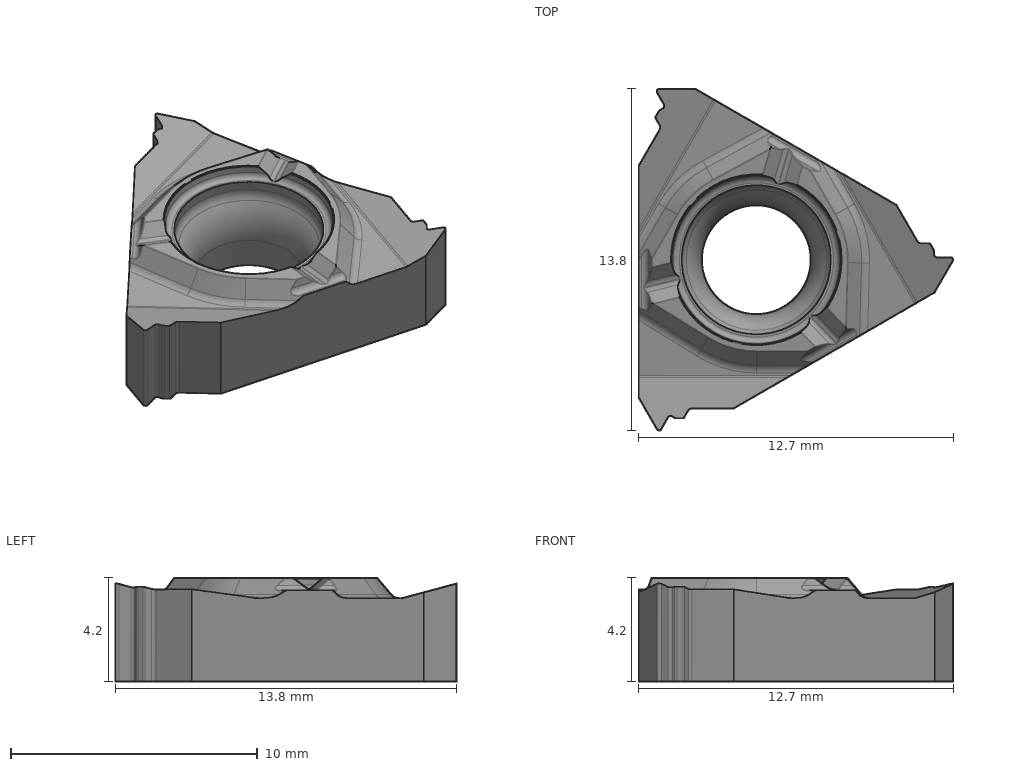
import cadquery as cq
import math

corner_count = 3
pitch_angle = 360 / corner_count
blank_radius = 9.0
tolerance = 0.01

inscribed_radius = 9.525 / 2
overall_height = 4.2
flank_angle = 60.0
flank_offset = 6.92
tip_radius = 0.1
root_y = -6.29
ramp_angle = 30.0
step_y = -6.43
step_end_x = -2.94
land_y = -6.03
root_fillet = 0.12
step_start_fillet = 0.2
step_end_fillet = 0.08
land_fillet = 0.18

floor_z = 3.385
rake_angle = 15.0
rake_start = 4.715
valley_radius = 0.32

boss_radius = 3.7
boss_slope = 50.0
boss_arc_start = -1.6
boss_arc = 31.6
boss_foot_fillet = 0.42
boss_edge_fillet = 0.04

relief_offset = 4.43
relief_lean = 20.0
relief_z = 3.69
relief_half_length = 3.0
relief_fillet = 0.32

groove_direction = 73.8
groove_z = 3.71
groove_flat = 0.26
groove_top_width = 1.44
groove_fillet = 0.3

bore_radius = 4.4 / 2
seat_start_z = 1.32
seat_angle = 45.0
seat_radius = 2.22
seat_wall_radius = 3.02
rim_ledge_z = 3.7
rim_radius = 3.43
rim_lean = 10.0
rim_fillet = 0.26


def turned(x, y, degrees):
    """The point (x, y) turned about the bore axis."""
    c = math.cos(math.radians(degrees))
    s = math.sin(math.radians(degrees))
    return x * c - y * s, x * s + y * c


def rounded_outline(corners):
    """Closed wire through (x, y, radius) corners, with a tangent arc at each radius above zero."""
    entries = []
    for i, (x, y, radius) in enumerate(corners):
        corner = cq.Vector(x, y)
        before = (cq.Vector(*corners[i - 1][:2]) - corner).normalized()
        after = (cq.Vector(*corners[(i + 1) % len(corners)][:2]) - corner).normalized()
        if radius == 0:
            entries.append((corner, None, corner))
            continue
        half_angle = before.getAngle(after) / 2
        setback = radius / math.tan(half_angle)
        bisector = (before + after).normalized()
        middle = corner + bisector * (radius / math.sin(half_angle) - radius)
        entries.append((corner + before * setback, middle, corner + after * setback))
    path = cq.Workplane("XY").moveTo(*entries[0][2].toTuple()[:2])
    for start, middle, end in entries[1:] + entries[:1]:
        path = path.lineTo(*start.toTuple()[:2])
        if middle is not None:
            path = path.threePointArc(middle.toTuple()[:2], end.toTuple()[:2])
    return path.close()


def thread_corner():
    """Corner points (x, y, radius) of the tooth that points toward -Y."""
    cos_flank = math.cos(math.radians(flank_angle))
    sin_flank = math.sin(math.radians(flank_angle))
    tan_flank = math.tan(math.radians(flank_angle))
    tip_center_y = tip_radius - flank_offset
    tip_x = tip_center_y / tan_flank
    tip_y = tip_center_y - tip_radius / cos_flank
    side_x = -inscribed_radius
    side_y = (-flank_offset - sin_flank * side_x) / cos_flank
    root_x = tip_x + (root_y - tip_y) / tan_flank
    step_start_x = root_x + (root_y - step_y) / math.tan(math.radians(ramp_angle))
    land_start_x = step_end_x + (land_y - step_y) / tan_flank
    land_end_x = (inscribed_radius + sin_flank * land_y) / cos_flank
    return [
        (side_x, side_y, 0),
        (tip_x, tip_y, tip_radius),
        (root_x, root_y, root_fillet),
        (step_start_x, step_y, step_start_fillet),
        (step_end_x, step_y, step_end_fillet),
        (land_start_x, land_y, land_fillet),
        (land_end_x, land_y, 0),
    ]


def body_prism():
    """Full-height prism with the threaded outline."""
    corners = []
    for i in range(corner_count):
        for x, y, radius in thread_corner():
            corners.append((*turned(x, y, i * pitch_angle), radius))
    return rounded_outline(corners).extrude(overall_height)


def rake_wedge():
    """Wedge that rises from the floor toward the tooth at -Y, blended in at the valley."""
    angle = math.radians(rake_angle)
    setback = valley_radius * math.tan(angle / 2)
    rise = (blank_radius - rake_start) * math.tan(angle)
    valley_start = (-rake_start + setback, floor_z)
    valley_middle = (
        valley_start[0] - valley_radius * math.sin(angle / 2),
        floor_z + valley_radius * (1 - math.cos(angle / 2)),
    )
    valley_end = (
        valley_start[0] - valley_radius * math.sin(angle),
        floor_z + valley_radius * (1 - math.cos(angle)),
    )
    return (
        cq.Workplane("YZ")
        .moveTo(valley_start[0], 0)
        .lineTo(*valley_start)
        .threePointArc(valley_middle, valley_end)
        .lineTo(-blank_radius, floor_z + rise)
        .lineTo(-blank_radius, 0)
        .close()
        .extrude(blank_radius, both=True)
    )


def boss_on_floor():
    """Round floor disc carrying the sloped three-cornered boss."""
    boss_height = overall_height - floor_z
    foot_radius = boss_radius + boss_height / math.tan(math.radians(boss_slope))
    half_straight = (pitch_angle - boss_arc) / 2
    corner_radius = foot_radius / math.cos(math.radians(half_straight))
    foot = cq.Workplane("XY", origin=(0, 0, floor_z)).moveTo(*turned(foot_radius, 0, boss_arc_start))
    for i in range(corner_count):
        start = boss_arc_start + i * pitch_angle
        arc_end = start + boss_arc
        foot = foot.threePointArc(
            turned(foot_radius, 0, start + boss_arc / 2),
            turned(foot_radius, 0, arc_end),
        )
        foot = foot.lineTo(*turned(corner_radius, 0, arc_end + half_straight))
        if i < corner_count - 1:
            foot = foot.lineTo(*turned(foot_radius, 0, start + pitch_angle))
    boss = foot.close().extrude(boss_height, taper=90 - boss_slope)
    floor = cq.Workplane("XY").circle(blank_radius).extrude(floor_z)
    foot_edges = cq.selectors.BoxSelector(
        (-corner_radius, -corner_radius, floor_z - tolerance),
        (corner_radius, corner_radius, floor_z + tolerance),
        boundingbox=True,
    )
    return floor.union(boss).edges(foot_edges).fillet(boss_foot_fillet)


def side_relief():
    """Cutter that trims the boss back from the side at -X, rounded along its inner corner."""
    wall_height = overall_height - relief_z
    wall_top_x = -relief_offset + wall_height * math.tan(math.radians(relief_lean))
    profile = [
        (-relief_offset, relief_z),
        (wall_top_x, overall_height),
        (-blank_radius, overall_height),
        (-blank_radius, relief_z),
    ]
    cutter = cq.Workplane("XZ").polyline(profile).close().extrude(relief_half_length, both=True)
    return cutter.edges("<Z and |Y").edges(">X").fillet(relief_fillet)


def radial_groove():
    """Cutter for one flat-bottomed groove running outward along +X."""
    half_flat = groove_flat / 2
    profile = [
        (half_flat, groove_z),
        (groove_top_width / 2, overall_height),
        (-groove_top_width / 2, overall_height),
        (-half_flat, groove_z),
    ]
    groove = cq.Workplane("YZ").polyline(profile).close().extrude(blank_radius)
    return groove.edges("<Z and |X").fillet(groove_fillet)


def screw_bore():
    """Cutter for the bore, its curved screw seat and the stepped rim."""
    angle = math.radians(seat_angle)
    seat_x = bore_radius + seat_radius * (1 - math.cos(angle))
    seat_z = seat_start_z + seat_radius * math.sin(angle)
    seat_middle = (
        bore_radius + seat_radius * (1 - math.cos(angle / 2)),
        seat_start_z + seat_radius * math.sin(angle / 2),
    )
    blend_radius = (seat_wall_radius - seat_x) / (1 - math.cos(angle))
    blend_middle = (
        seat_wall_radius - blend_radius * (1 - math.cos(angle / 2)),
        seat_z + blend_radius * (math.sin(angle) - math.sin(angle / 2)),
    )
    blend_end = (seat_wall_radius, seat_z + blend_radius * math.sin(angle))
    rim_turn = math.radians(90 - rim_lean)
    rim_wall_z = rim_ledge_z + rim_fillet * (1 - math.cos(rim_turn))
    rim_wall_x = rim_radius - (overall_height - rim_wall_z) / math.tan(rim_turn)
    rim_arc_x = rim_wall_x - rim_fillet * math.sin(rim_turn)
    rim_middle = (
        rim_arc_x + rim_fillet * math.sin(rim_turn / 2),
        rim_ledge_z + rim_fillet * (1 - math.cos(rim_turn / 2)),
    )
    profile = (
        cq.Workplane("XZ")
        .lineTo(bore_radius, 0)
        .lineTo(bore_radius, seat_start_z)
        .threePointArc(seat_middle, (seat_x, seat_z))
        .threePointArc(blend_middle, blend_end)
        .lineTo(seat_wall_radius, rim_ledge_z)
        .lineTo(rim_arc_x, rim_ledge_z)
        .threePointArc(rim_middle, (rim_wall_x, rim_wall_z))
        .lineTo(rim_radius, overall_height)
        .lineTo(0, overall_height)
        .close()
    )
    return profile.revolve()


def relief_wall_edges(part):
    """Rising edges of the leaning relief walls, without their level top and bottom edges."""
    lean_sine = math.sin(math.radians(relief_lean))
    edges = []
    for face in part.faces("%PLANE").vals():
        if abs(face.normalAt().z - lean_sine) < tolerance:
            edges += [edge for edge in face.Edges() if edge.BoundingBox().zlen > tolerance]
    return edges


blank = boss_on_floor()
cutters = [screw_bore()]
for i in range(corner_count):
    turn = i * pitch_angle
    blank = blank.union(rake_wedge().rotate((0, 0, 0), (0, 0, 1), turn))
    cutters.append(side_relief().rotate((0, 0, 0), (0, 0, 1), turn))
    cutters.append(radial_groove().rotate((0, 0, 0), (0, 0, 1), groove_direction + turn))

insert = blank.intersect(body_prism())
for cutter in cutters:
    insert = insert.cut(cutter)

broken_edges = insert.faces(">Z").edges().vals() + relief_wall_edges(insert)
result = cq.Workplane(insert.solids().val().fillet(boss_edge_fillet, broken_edges))